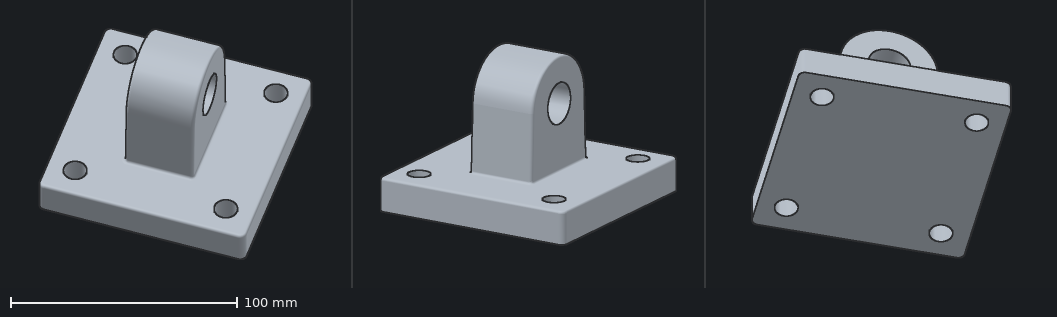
import cadquery as cq
import math

plate_side = 96.5
plate_thickness = 15.9
plate_corner_radius = 3.0
edge_radius = 1.5

mount_hole_diameter = 10.4
mount_hole_pitch = 70.2

total_height = 69.9
lug_width = 31.9
lug_top_radius = 22.2
lug_draft = math.radians(2.0)
pin_hole_diameter = 19.1
pin_height = total_height - lug_top_radius


def make_plate():
    """Square plate standing on Z = 0 with rounded corners and top rim."""
    plate = cq.Workplane("XY").rect(plate_side, plate_side).extrude(plate_thickness)
    plate = plate.edges("|Z").fillet(plate_corner_radius)
    return plate.faces(">Z").edges().fillet(edge_radius)


def make_lug():
    """Lug along X whose flanks meet the round top tangentially."""
    tangent_y = lug_top_radius * math.cos(lug_draft)
    tangent_z = pin_height + lug_top_radius * math.sin(lug_draft)
    foot_z = plate_thickness
    foot_y = tangent_y + (tangent_z - foot_z) * math.tan(lug_draft)
    lug = (
        cq.Workplane("YZ")
        .moveTo(-foot_y, foot_z)
        .lineTo(foot_y, foot_z)
        .lineTo(tangent_y, tangent_z)
        .threePointArc((0, total_height), (-tangent_y, tangent_z))
        .close()
        .extrude(lug_width / 2, both=True)
    )
    return lug.faces("<X or >X").edges("not <Z").fillet(edge_radius)


def round_foot(body):
    """Fillet the loop where the lug rises from the plate."""
    foot_zone = cq.selectors.BoxSelector(
        (-plate_side / 3, -plate_side / 3, plate_thickness - edge_radius / 2),
        (plate_side / 3, plate_side / 3, plate_thickness + edge_radius / 2),
    )
    return body.edges(foot_zone).fillet(edge_radius)


def make_mount_holes():
    """Four cutters through the plate on a square pattern."""
    return (
        cq.Workplane("XY")
        .rect(mount_hole_pitch, mount_hole_pitch, forConstruction=True)
        .vertices()
        .circle(mount_hole_diameter / 2)
        .extrude(plate_thickness)
    )


def make_pin_hole():
    """Cutter along X through the lug, concentric with its round top."""
    return (
        cq.Workplane("YZ")
        .center(0, pin_height)
        .circle(pin_hole_diameter / 2)
        .extrude(lug_width / 2, both=True)
    )


body = round_foot(make_plate().union(make_lug()))
result = body.cut(make_mount_holes()).cut(make_pin_hole())